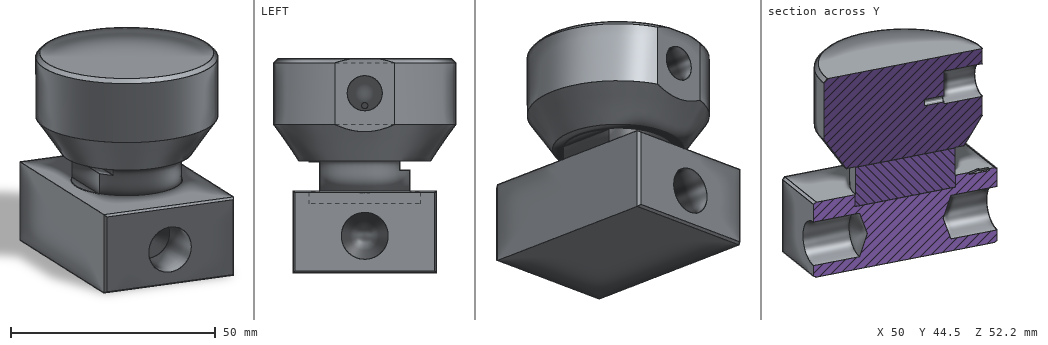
import cadquery as cq
import math

block_length = 50.0
block_width = 34.9
block_height = 20.0
end_chamfer = 0.8
end_chamfer_angle = 30.0
port_diameter = 11.45
port_height = 9.05
port_depth = 12.55
port_tip_angle = 140.0

arrow_tail_x = -22.8
arrow_length = 5.35
arrow_head_length = 3.0
arrow_shaft_width = 1.15
arrow_head_width = 2.3
arrow_depth = 0.5

neck_diameter = 27.1
socket_depth = 3.15
wrench_flat_offset = 11.0
wrench_flat_sink = 0.2
wrench_flat_top = 27.05
front_flat_offset = 8.55
front_flat_bottom = 25.1

cap_diameter = 44.45
cap_top = 52.25
cap_bottom = 27.3
cone_top = 36.2
cone_bottom_diameter = 32.1
cap_chamfer = 1.0
cap_flat_offset = 21.0
gauge_port_diameter = 8.55
gauge_port_height = 43.85
gauge_port_depth = 10.45
pilot_diameter = 1.5
pilot_drop = 3.05
pilot_depth = 5.2


def make_port(side):
    """Drilled port with a conical end, entering the block from the given X side."""
    radius = port_diameter / 2
    tip_length = radius / math.tan(math.radians(port_tip_angle / 2))
    face_x = side * block_length / 2
    shoulder_x = face_x - side * port_depth
    tip_x = shoulder_x - side * tip_length
    profile = cq.Workplane("XY").polyline([(face_x, 0), (face_x, radius), (shoulder_x, radius), (tip_x, 0)])
    drill = profile.close().revolve(360, (0, 0, 0), (1, 0, 0))
    return drill.translate((0, 0, port_height))


def make_arrow():
    """Arrow pointing along +X, as deep as the recess it cuts."""
    head_x = arrow_tail_x + arrow_length - arrow_head_length
    half_shaft = arrow_shaft_width / 2
    half_head = arrow_head_width / 2
    outline = [
        (arrow_tail_x, -half_shaft),
        (head_x, -half_shaft),
        (head_x, -half_head),
        (arrow_tail_x + arrow_length, 0),
        (head_x, half_head),
        (head_x, half_shaft),
        (arrow_tail_x, half_shaft),
    ]
    return cq.Workplane("XY", origin=(0, 0, block_height)).polyline(outline).close().extrude(-arrow_depth)


def make_end_chamfered_block():
    """Block whose two X ends taper slightly on all four sides."""
    inset = end_chamfer * math.tan(math.radians(end_chamfer_angle))
    half_length = block_length / 2
    shoulder = half_length - end_chamfer

    def outline(half_side):
        return [
            (-half_length, -half_side + inset),
            (-shoulder, -half_side),
            (shoulder, -half_side),
            (half_length, -half_side + inset),
            (half_length, half_side - inset),
            (shoulder, half_side),
            (-shoulder, half_side),
            (-half_length, half_side - inset),
        ]

    plan = cq.Workplane("XY").polyline(outline(block_width / 2)).close().extrude(block_height)
    elevation = cq.Workplane("XZ").polyline(outline(block_height / 2)).close()
    elevation = elevation.extrude(block_width / 2, both=True).translate((0, 0, block_height / 2))
    return plan.intersect(elevation)


def make_valve_body():
    block = make_end_chamfered_block()
    for side in (-1, 1):
        block = block.cut(make_port(side))
    socket = cq.Workplane("XY", origin=(0, 0, block_height)).circle(neck_diameter / 2).extrude(-socket_depth)
    return block.cut(socket).cut(make_arrow())


def make_flat_cutter(side, offset, bottom, top):
    """Box that removes everything beyond a flat on the given Y side of the neck."""
    cutter = cq.Workplane("XY").box(neck_diameter, neck_diameter, top - bottom, centered=(True, True, False))
    return cutter.translate((0, side * (offset + neck_diameter / 2), bottom))


def make_bonnet():
    neck_bottom = block_height - socket_depth
    wrench_flat_bottom = block_height - wrench_flat_sink
    neck = cq.Workplane("XY", origin=(0, 0, neck_bottom)).circle(neck_diameter / 2)
    neck = neck.extrude(cap_bottom - neck_bottom)
    for side in (-1, 1):
        neck = neck.cut(make_flat_cutter(side, wrench_flat_offset, wrench_flat_bottom, wrench_flat_top))
    return neck.cut(make_flat_cutter(-1, front_flat_offset, front_flat_bottom, cap_bottom))


def make_cap():
    radius = cap_diameter / 2
    profile = [
        (0, cap_bottom),
        (cone_bottom_diameter / 2, cap_bottom),
        (radius, cone_top),
        (radius, cap_top - cap_chamfer),
        (radius - cap_chamfer, cap_top),
        (0, cap_top),
    ]
    cap = cq.Workplane("XZ").polyline(profile).close().revolve(360, (0, 0, 0), (0, 1, 0))

    flat = cq.Workplane("XY").box(cap_diameter, cap_diameter, cap_top, centered=(True, True, False))
    cap = cap.cut(flat.translate((-cap_flat_offset - radius, 0, 0)))

    port = cq.Workplane("YZ", origin=(-cap_flat_offset, 0, gauge_port_height))
    port = port.circle(gauge_port_diameter / 2).extrude(gauge_port_depth)
    pilot_start = -cap_flat_offset + gauge_port_depth
    pilot = cq.Workplane("YZ", origin=(pilot_start, 0, gauge_port_height - pilot_drop))
    pilot = pilot.circle(pilot_diameter / 2).extrude(pilot_depth)
    return cap.cut(port).cut(pilot)


valve_body = make_valve_body()
bonnet = make_bonnet()
cap = make_cap()

result = cq.Compound.makeCompound([valve_body.val(), bonnet.val(), cap.val()])